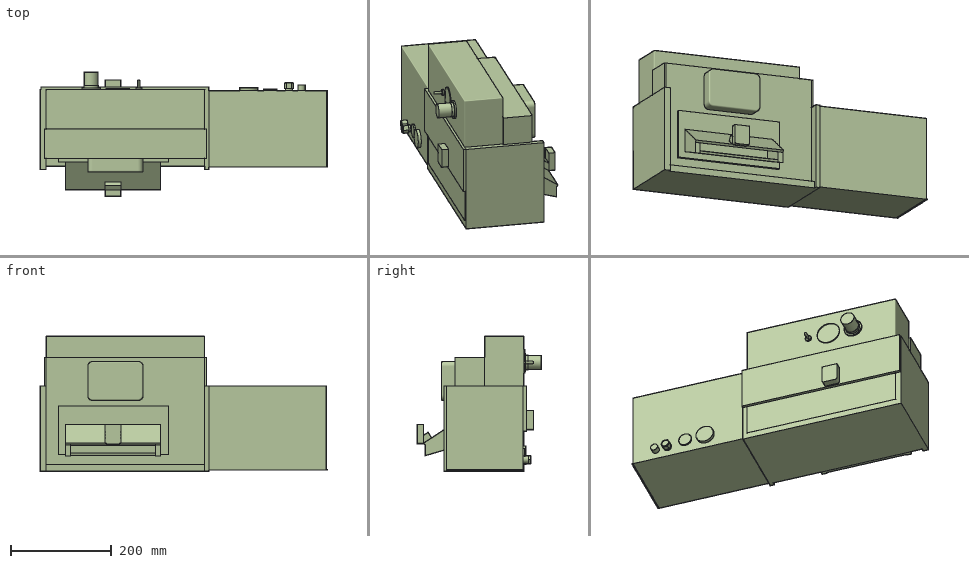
import cadquery as cq
import math

total_length = 571.24
total_height = 268.94
handle_front_y = -53.3
total_depth = 247.18
knob_end_y = handle_front_y + total_depth

frame_length = 335.6
frame_depth = 159.2
wall_height = 170.3
left_wall = 12.0
right_wall = 8.6
floor_height = 13.3
floor_front_y = 6.5
bay_right_x = frame_length - right_wall

rear_housing_front_y = 80.8
rear_housing_edge_radius = 1.7

front_housing_front_y = 21.8
front_housing_height = 227.0
front_housing_left_x = 8.6
front_housing_right_x = 331.0
flank_setback = 0.6

screen_left_x, screen_right_x = 94.8, 204.8
screen_bottom_z, screen_top_z = 141.0, 218.6
screen_front_y = -4.9
screen_corner_radius = 10.0
screen_edge_radius = 2.6

panel_left_x, panel_right_x = 36.6, 255.2
panel_bottom_z, panel_top_z = 34.0, 130.3
panel_front_y = 15.2

chute_left_x, chute_right_x = 50.2, 239.6
cheek_thickness = 10.5
roof_tip_y, roof_tip_z = -40.3, 56.4
roof_slope = math.radians(33.3)
roof_thickness = 5.0
cheek_bottom_z = 31.0
chute_floor_slope = math.radians(16.3)
chute_floor_thickness = 5.0

block_left_x, block_right_x = 129.2, 160.6
block_height = 38.8
block_corner_radius = 3.4
handle_bottom_z = 55.0
stem_rise = 13.2
stem_length = 19.2

cover_left_x = 1.7
cover_bottom_z = 79.8
cover_back_y = 164.6
cover_block_bottom_z = 82.4
cover_block_back_y = 178.4

unit_front_y, unit_back_y = 5.0, 157.0
unit_bottom_z = 2.8
unit_right_x = 569.0
unit_edge_radius = 1.5
unit_base_thickness = 1.0

control_z = 216.6
knob_x = 101.5
knob_flange_diameter = 36.52
knob_flange_end_y = 162.4
knob_collar_diameter = 29.0
knob_collar_end_y = 167.0
knob_diameter = 28.0
plug_x, plug_z = 154.0, 219.0
plug_diameter = 47.0
plug_end_y = 160.9
toggle_x = 196.2
toggle_flange_diameter = 12.0
toggle_flange_end_y = 162.2
toggle_diameter = 5.0
toggle_end_y = 178.4
toggle_tip_radius = 2.0

socket_z = 32.3
large_socket_x = 414.9
large_socket_diameter = 36.53
large_socket_end_y = 163.2
small_socket_x = 457.6
small_socket_diameter = 26.5
small_socket_end_y = 160.0
gland_x, gland_z = 494.9, 23.3
gland_diameter = 14.5
gland_nut_flats = 16.2
gland_nut_start_y = 161.0
gland_nut_end_y = 172.0
gland_end_y = 173.4
pin_x = 520.0
pin_diameter = 14.5
pin_end_y = 168.6


def box(x0, x1, y0, y1, z0, z1):
    """Box between two opposite corners."""
    return cq.Workplane("XY").box(x1 - x0, y1 - y0, z1 - z0, centered=False).translate((x0, y0, z0))


def rod(x, z, diameter, y0, y1):
    """Round rod running along Y."""
    return cq.Workplane("XZ", origin=(x, y0, z)).circle(diameter / 2).extrude(y0 - y1)


def side_prism(points, x0, x1):
    """Prism along X over a (y, z) outline."""
    return cq.Workplane("YZ", origin=(x0, 0, 0)).polyline(points).close().extrude(x1 - x0)


def handle_block(y0, y1, bottom_z):
    """Upright block with its two lower corners rounded."""
    block = box(block_left_x, block_right_x, y0, y1, bottom_z, bottom_z + block_height)
    return block.edges("|Y and <Z").fillet(block_corner_radius)


def roof_height(y):
    """Height of the chute's roof at depth y."""
    return roof_tip_z + (y - roof_tip_y) * math.tan(roof_slope)


def make_frame():
    left = box(0, left_wall, 0, frame_depth, 0, wall_height)
    right = box(bay_right_x, frame_length, 0, frame_depth, 0, wall_height)
    floor = box(left_wall, bay_right_x, floor_front_y, frame_depth, 0, floor_height)
    cover = box(cover_left_x, frame_length, frame_depth, cover_back_y, cover_bottom_z, wall_height)
    block = handle_block(cover_back_y, cover_block_back_y, cover_block_bottom_z)
    return left.union(floor).union(right).union(cover).union(block)


def make_rear_housing():
    housing = box(left_wall, bay_right_x, rear_housing_front_y, frame_depth, floor_height, total_height)
    housing = housing.edges("|Z or >Z").fillet(rear_housing_edge_radius)
    plug = rod(plug_x, plug_z, plug_diameter, frame_depth, plug_end_y)
    lever = rod(toggle_x, control_z, toggle_diameter, frame_depth, toggle_end_y).faces(">Y").edges()
    lever = lever.fillet(toggle_tip_radius)
    toggle = rod(toggle_x, control_z, toggle_flange_diameter, frame_depth, toggle_flange_end_y).union(lever)
    return housing.union(plug).union(toggle)


def make_knob():
    flange = rod(knob_x, control_z, knob_flange_diameter, frame_depth, knob_flange_end_y)
    collar = rod(knob_x, control_z, knob_collar_diameter, knob_flange_end_y, knob_collar_end_y)
    grip = rod(knob_x, control_z, knob_diameter, knob_collar_end_y, knob_end_y)
    return flange.union(collar).union(grip)


def make_front_housing():
    core = box(
        left_wall, bay_right_x,
        front_housing_front_y, rear_housing_front_y,
        floor_height, front_housing_height,
    )
    flanks = box(
        front_housing_left_x, front_housing_right_x,
        front_housing_front_y + flank_setback, rear_housing_front_y,
        wall_height, front_housing_height,
    )
    return core.union(flanks)


def make_screen():
    screen = box(
        screen_left_x, screen_right_x,
        screen_front_y, front_housing_front_y,
        screen_bottom_z, screen_top_z,
    )
    screen = screen.edges("|Y").fillet(screen_corner_radius)
    return screen.faces("<Y").edges().fillet(screen_edge_radius)


def make_front_panel():
    return box(
        panel_left_x, panel_right_x,
        panel_front_y, front_housing_front_y,
        panel_bottom_z, panel_top_z,
    )


def make_chute_shell():
    roof_dy = roof_thickness * math.sin(roof_slope)
    roof_drop = roof_thickness / math.cos(roof_slope)
    lip_y = roof_tip_y + roof_dy
    lip_z = roof_tip_z - roof_thickness * math.cos(roof_slope)
    roof_back_z = roof_height(panel_front_y)
    roof = [
        (roof_tip_y, roof_tip_z),
        (panel_front_y, roof_back_z),
        (panel_front_y, roof_back_z - roof_drop),
        (lip_y, lip_z),
    ]

    floor_rise = (panel_front_y - lip_y) * math.tan(chute_floor_slope)
    floor_back_z = cheek_bottom_z + floor_rise
    floor_drop = chute_floor_thickness / math.cos(chute_floor_slope)
    floor_edge_y = lip_y + chute_floor_thickness * math.sin(chute_floor_slope)
    floor_edge_z = cheek_bottom_z + floor_drop - chute_floor_thickness * math.cos(chute_floor_slope)
    floor = [
        (lip_y, cheek_bottom_z + floor_drop),
        (panel_front_y, floor_back_z + floor_drop),
        (panel_front_y, floor_back_z),
        (floor_edge_y, floor_edge_z),
    ]

    cheek = [
        (lip_y, lip_z),
        (panel_front_y, roof_back_z - roof_drop),
        (panel_front_y, floor_back_z),
        (lip_y, cheek_bottom_z),
    ]
    shell = side_prism(roof, chute_left_x, chute_right_x)
    shell = shell.union(side_prism(floor, chute_left_x, chute_right_x))
    for left_x in (chute_left_x, chute_right_x - cheek_thickness):
        shell = shell.union(side_prism(cheek, left_x, left_x + cheek_thickness))
    return shell


def make_stem():
    """Stem standing square on the chute's roof, cut off upright where the handle meets it."""
    heel_y = roof_tip_y + stem_length * math.cos(roof_slope)
    heel_top_y = heel_y - stem_rise * math.sin(roof_slope)
    stem_lift = stem_rise / math.cos(roof_slope)
    stem = [
        (roof_tip_y, roof_tip_z),
        (heel_y, roof_height(heel_y)),
        (heel_top_y, roof_height(heel_top_y) + stem_lift),
        (roof_tip_y, roof_tip_z + stem_lift),
    ]
    return side_prism(stem, block_left_x, block_right_x)


def make_chute():
    return make_chute_shell().union(make_stem())


def make_handle():
    return handle_block(handle_front_y, roof_tip_y, handle_bottom_z)


def make_side_unit():
    unit = box(frame_length, unit_right_x, unit_front_y, unit_back_y, unit_bottom_z, wall_height)
    unit = unit.edges("|X and >Z").fillet(unit_edge_radius)
    base_top_z = unit_bottom_z + unit_base_thickness
    base = box(frame_length, total_length, unit_front_y, unit_back_y, unit_bottom_z, base_top_z)
    nut_diameter = gland_nut_flats / math.cos(math.pi / 6)
    nut = (
        cq.Workplane("XZ", origin=(gland_x, gland_nut_start_y, gland_z))
        .polygon(6, nut_diameter)
        .extrude(gland_nut_start_y - gland_nut_end_y)
    )
    gland = rod(gland_x, gland_z, gland_diameter, unit_back_y, gland_end_y).union(nut)
    large_socket = rod(large_socket_x, socket_z, large_socket_diameter, unit_back_y, large_socket_end_y)
    small_socket = rod(small_socket_x, socket_z, small_socket_diameter, unit_back_y, small_socket_end_y)
    pin = rod(pin_x, gland_z, pin_diameter, unit_back_y, pin_end_y)
    return unit.union(base).union(large_socket).union(small_socket).union(gland).union(pin)


frame = make_frame()
rear_housing = make_rear_housing()
knob = make_knob()
front_housing = make_front_housing()
screen = make_screen()
front_panel = make_front_panel()
chute = make_chute()
handle = make_handle()
side_unit = make_side_unit()

result = cq.Compound.makeCompound([
    frame.val(),
    rear_housing.val(),
    front_housing.val(),
    screen.val(),
    front_panel.val(),
    chute.val(),
    handle.val(),
    knob.val(),
    side_unit.val(),
])